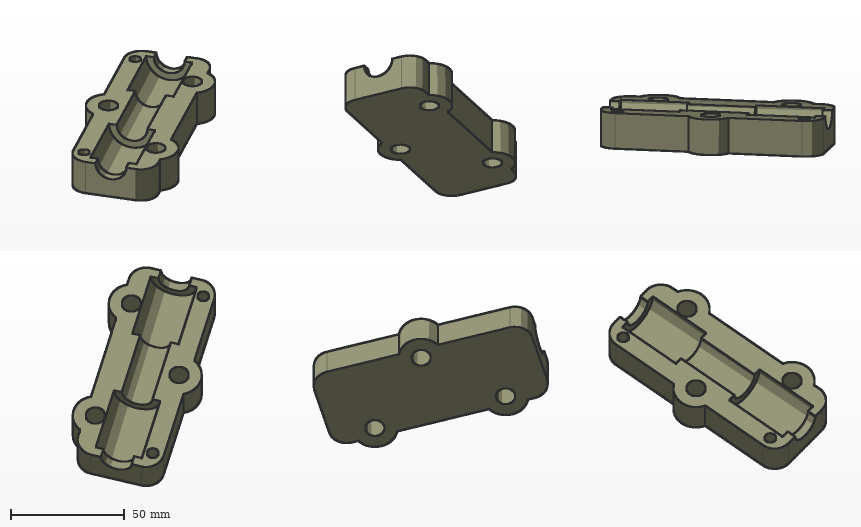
import cadquery as cq

body_width = 39.0
body_length = 100.0
height = 16.0
corner_radius = 8.0

lug_radius = 10.0
lug_offset = 15.0
lug_spacing = 60.0
screw_diameter = 8.4
lug_centres = [
    (-lug_offset, 0),
    (lug_offset, -lug_spacing / 2),
    (lug_offset, lug_spacing / 2),
]

dowel_diameter = 5.0
dowel_depth = 8.0
dowel_offset = 14.5
dowel_spacing = 84.0
dowel_centres = [(-dowel_offset, side * dowel_spacing / 2) for side in (-1, 1)]

shaft_diameter = 14.0
bearing_diameter = 21.0
bearing_length = 30.5
bearing_centre = 30.5


def cylinder_along_y(diameter, length, centre_y):
    """Cylinder parallel to Y, with its axis in the top face."""
    return (
        cq.Workplane("XZ", origin=(0, centre_y + length / 2, height))
        .circle(diameter / 2)
        .extrude(length)
    )


def make_body():
    """Rounded block joined with its three lugs."""
    block = (
        cq.Workplane("XY")
        .rect(body_width, body_length)
        .extrude(height)
        .edges("|Z")
        .fillet(corner_radius)
    )
    lugs = cq.Workplane("XY").pushPoints(lug_centres).circle(lug_radius).extrude(height)
    return block.union(lugs)


result = make_body()

result = result.cut(cylinder_along_y(shaft_diameter, body_length, 0))
for side in (-1, 1):
    result = result.cut(cylinder_along_y(bearing_diameter, bearing_length, side * bearing_centre))

screw_holes = cq.Workplane("XY").pushPoints(lug_centres).circle(screw_diameter / 2).extrude(height)
result = result.cut(screw_holes)

dowel_holes = (
    cq.Workplane("XY", origin=(0, 0, height))
    .pushPoints(dowel_centres)
    .circle(dowel_diameter / 2)
    .extrude(-dowel_depth)
)
result = result.cut(dowel_holes)